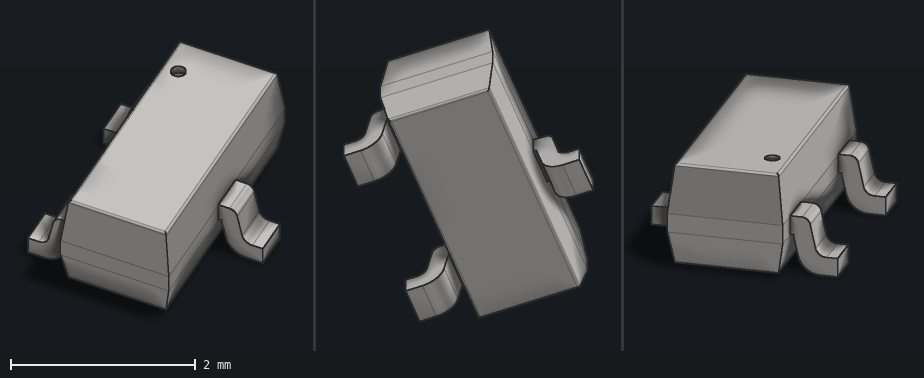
import cadquery as cq
import math

span_x = 2.37
body_length = 2.92
top_z = 1.22

body_width = 1.302
body_bottom_z = 0.058
belt_top_z = 0.657
face_inset = 0.067
edge_radius = 0.03

mark_diameter = 0.164
mark_x = -0.388
mark_depth = 0.1

lead_thickness = 0.215
lead_width = 0.432
lead_offset_y = 0.95
web_lean = 12.5
web_top_gap = 0.035
shoulder_radius = 0.095
foot_inner_radius = 0.123
foot_outer_radius = 0.257

belt_bottom_z = belt_top_z - lead_thickness


def tapered_block(start_z, height):
    """Block growing from the belt outline, up or down, with its walls leaning in."""
    taper = math.degrees(math.atan(face_inset / abs(height)))
    return (
        cq.Workplane("XY")
        .workplane(offset=start_z)
        .rect(body_width, body_length)
        .extrude(height, taper=taper)
    )


def make_housing():
    """Housing with a straight belt, sloped walls, rounded rims and a pin-one mark."""
    belt = (
        cq.Workplane("XY")
        .workplane(offset=belt_bottom_z)
        .rect(body_width, body_length)
        .extrude(lead_thickness)
    )
    upper = tapered_block(belt_top_z, top_z - belt_top_z)
    upper = upper.faces(">Z").edges().fillet(edge_radius)
    lower = tapered_block(belt_bottom_z, body_bottom_z - belt_bottom_z)
    lower = lower.faces("<Z").edges().fillet(edge_radius)
    mark = (
        cq.Workplane("XY")
        .workplane(offset=top_z - mark_depth)
        .center(mark_x, lead_offset_y)
        .circle(mark_diameter / 2)
        .extrude(mark_depth)
    )
    return belt.union(upper).union(lower).cut(mark)


def make_lead(side, center_y):
    """Bent lead against the housing wall; side is -1 for the -X wall and +1 for the +X wall."""
    lean = math.radians(web_lean)
    wall_x = body_width / 2
    tip_x = span_x / 2
    web_inner_x = wall_x + web_top_gap
    web_width_x = lead_thickness / math.cos(lean)

    def inner_x(z):
        return web_inner_x + (belt_bottom_z - z) * math.tan(lean)

    def outer_x(z):
        return inner_x(z) + web_width_x

    shoulder_corner = (outer_x(belt_top_z), belt_top_z)
    foot_inner_corner = (outer_x(lead_thickness), lead_thickness)
    foot_outer_corner = (inner_x(0), 0)
    outline = [
        (wall_x, belt_top_z),
        shoulder_corner,
        foot_inner_corner,
        (tip_x, lead_thickness),
        (tip_x, 0),
        foot_outer_corner,
        (web_inner_x, belt_bottom_z),
        (wall_x, belt_bottom_z),
    ]
    lead = (
        cq.Workplane("XZ", origin=(0, center_y, 0))
        .polyline(outline)
        .close()
        .extrude(lead_width / 2, both=True)
    )
    bends = [
        (shoulder_corner, shoulder_radius),
        (foot_inner_corner, foot_inner_radius),
        (foot_outer_corner, foot_outer_radius),
    ]
    for (x, z), radius in bends:
        corner = cq.selectors.NearestToPointSelector((x, center_y, z))
        lead = lead.edges("|Y").edges(corner).fillet(radius)
    return lead if side > 0 else lead.mirror("YZ")


housing = make_housing()

lead_places = [(-1, lead_offset_y), (-1, -lead_offset_y), (1, 0)]
leads = [make_lead(side, center_y) for side, center_y in lead_places]

result = cq.Compound.makeCompound([housing.val(), *[lead.val() for lead in leads]])